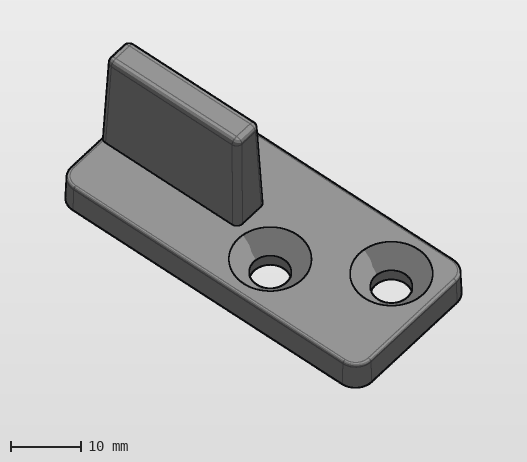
import cadquery as cq
import math

draft_angle = 2.0
draft_slope = math.tan(math.radians(draft_angle))

base_length = 56.0
base_width = 25.0
base_thickness = 5.0
base_corner_radius = 3.0
base_edge_radius = 0.5

total_height = 23.0
rib_length = 25.6
rib_width = 6.2
rib_edge_radius = 1.0
rib_end_inset = 0.2
rib_center_x = rib_end_inset + (rib_length - base_length) / 2

rib_sink = base_edge_radius
rib_foot_height = base_thickness - rib_sink
rib_foot_length = rib_length + 2 * rib_sink * draft_slope
rib_foot_width = rib_width + 2 * rib_sink * draft_slope

hole_diameter = 6.0
countersink_diameter = 11.8
countersink_angle = 90.0
hole_offset_y = 4.5
inner_hole_x = 5.0
outer_hole_x = 20.0


def make_base():
    """Drafted plate with rounded corners and a softened top edge."""
    return (
        cq.Workplane("XY")
        .sketch()
        .rect(base_length, base_width)
        .vertices()
        .fillet(base_corner_radius)
        .finalize()
        .extrude(base_thickness, taper=draft_angle)
        .faces(">Z")
        .edges()
        .fillet(base_edge_radius)
    )


def make_rib():
    """Drafted rib rising out of the plate along its -X end."""
    return (
        cq.Workplane("XY", origin=(rib_center_x, 0, rib_foot_height))
        .rect(rib_foot_length, rib_foot_width)
        .extrude(total_height - rib_foot_height, taper=draft_angle)
        .edges("not <Z")
        .fillet(rib_edge_radius)
    )


def drill_holes(body):
    """Cut the two countersunk holes through the plate."""
    return (
        body.copyWorkplane(cq.Workplane("XY", origin=(0, 0, base_thickness)))
        .pushPoints([(inner_hole_x, -hole_offset_y), (outer_hole_x, hole_offset_y)])
        .cskHole(hole_diameter, countersink_diameter, countersink_angle)
    )


result = drill_holes(make_base().union(make_rib()))